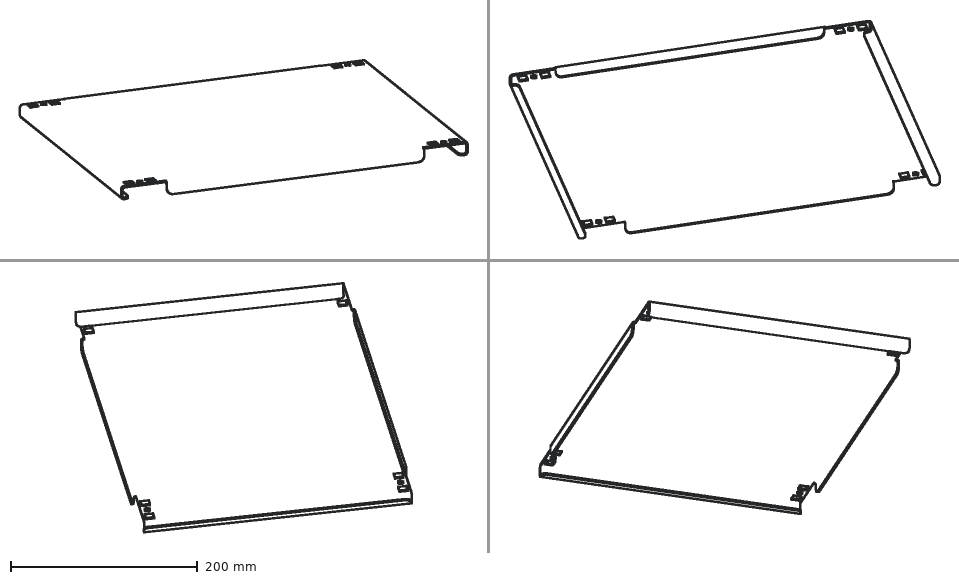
import cadquery as cq

length = 400.0
width = 299.0
height = 15.0

sheet = 2.0
bend_radius = 4.0
inner_bend_radius = bend_radius - sheet
plate_width = width - 2 * bend_radius

tab_length = 297.0
tab_corner_radius = 7.0
lip_depth = 9.5
lip_corner_radius = 5.0

hole_x = 138.0
hole_y = 175.0
square_offset = 12.5
square_side = 9.0
round_diameter = 6.0


def centred_block(plane, span, top, bottom, depth):
    """Block of the given span and depth between two Z levels, extruded both ways from the plane."""
    profile = cq.Workplane(plane).center(0, (top + bottom) / 2).rect(span, top - bottom)
    return profile.extrude(depth / 2, both=True)


def make_end_flanges():
    """Plate with both ends folded down and then inward into lips."""
    outer = centred_block("YZ", length, 0, -height, plate_width).edges("|X").fillet(bend_radius)
    cavity = centred_block("YZ", length - 2 * sheet, -sheet, sheet - height, plate_width)
    cavity = cavity.edges("|X").fillet(inner_bend_radius)
    opening = (
        cq.Workplane("XY")
        .workplane(offset=-height)
        .rect(plate_width, length - 2 * lip_depth)
        .extrude(height / 2)
    )
    body = outer.cut(cavity).cut(opening)
    lip_corners = cq.selectors.BoxSelector(
        (-width, lip_depth - length / 2 - sheet / 2, -height - sheet / 2),
        (width, length / 2 - lip_depth + sheet / 2, -height / 2),
    )
    return body.edges("|Z").edges(lip_corners).fillet(lip_corner_radius)


def make_side_tabs():
    """Centre stretch of the plate with a tab folded down along each side."""
    outer = centred_block("XZ", width, 0, -height, tab_length).edges("|Y and >Z").fillet(bend_radius)
    cavity = centred_block("XZ", width - 2 * sheet, -sheet, -height, tab_length)
    cavity = cavity.edges("|Y and >Z").fillet(inner_bend_radius)
    return outer.cut(cavity).edges("|X and <Z").edges("<Y or >Y").fillet(tab_corner_radius)


def make_holes():
    """Cutters for the four corner groups, passing through the top sheet only."""
    group_centers = [(x, y) for x in (-hole_x, hole_x) for y in (-hole_y, hole_y)]
    square_centers = [(x, y + dy) for x, y in group_centers for dy in (-square_offset, square_offset)]
    plane = cq.Workplane("XY")
    squares = plane.pushPoints(square_centers).rect(square_side, square_side).extrude(-2 * sheet)
    rounds = plane.pushPoints(group_centers).circle(round_diameter / 2).extrude(-2 * sheet)
    return squares.union(rounds)


result = make_end_flanges().union(make_side_tabs()).cut(make_holes())